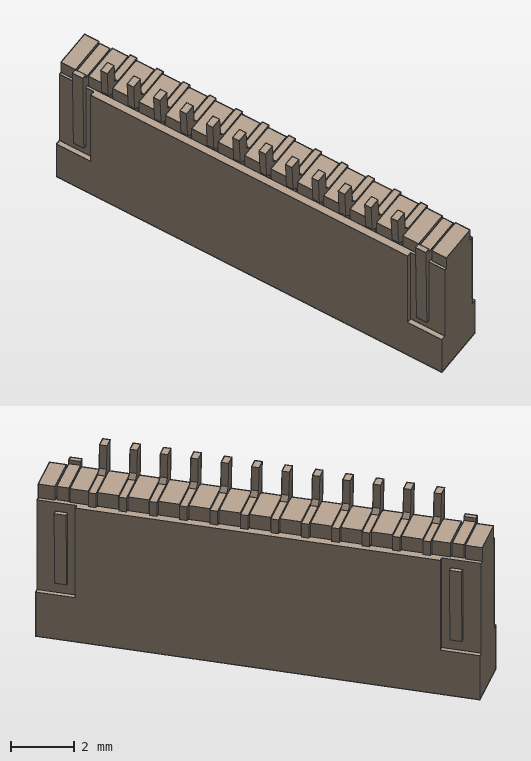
import cadquery as cq

length = 14.6
depth = 1.93
block_height = 5.0
core_top = 5.5
core_front = 0.26
core_back = 1.64

recess_length = 1.3
recess_bottom = 1.65
front_recess_depth = 0.18
back_recess_depth = 0.16

pin_count = 12
pin_span = 11.0
pin_pitch = pin_span / (pin_count - 1)
pin_width = 0.25
pin_thickness = 0.4
pin_top = 6.5
pin_back = 1.72
pin_slot_width = 0.3
pin_back_lean = 0.06
pin_back_chamfer = 0.16
pin_front_lean = 0.06
pin_front_chamfer = 0.16
pin_chamfer_bottom = 5.18

tab_offset = 0.8
tab_center = length / 2 - tab_offset
tab_width = 0.4
tab_slot_width = 0.5
tab_bottom = 2.05
tab_taper = 0.06
front_tab_top = 5.64
back_tab_top = 4.67
tab_bar_back = 1.59
tab_bar_top = core_top - 0.01


def box(x_center, width, y_range, z_range):
    """Block centred on x_center, between two Y positions and two Z positions."""
    (y_start, y_end), (z_start, z_end) = y_range, z_range
    size = (width, y_end - y_start, z_end - z_start)
    corner = cq.Vector(x_center - width / 2, y_start, z_start)
    return cq.Workplane("XY").box(*size, centered=False).translate(corner)


def extruded_profile(points, x_center, width):
    """Closed outline of (Y, Z) points, extruded symmetrically about x_center."""
    outline = cq.Workplane("YZ").polyline(points).close()
    return outline.extrude(width / 2, both=True).translate((x_center, 0, 0))


def housing():
    block = box(0, length, (0, depth), (0, block_height))
    core = box(0, length, (core_front, core_back), (0, core_top))
    recess_z = (recess_bottom, block_height)
    back_recess_y = (depth - back_recess_depth, depth)
    for side in (-1, 1):
        recess_center = side * (length - recess_length) / 2
        block = block.cut(box(recess_center, recess_length, (0, front_recess_depth), recess_z))
        block = block.cut(box(recess_center, recess_length, back_recess_y, recess_z))
    return block.union(core)


def slot(x_center, width):
    """Channel through the core from front to back, down to the top of the block."""
    return box(x_center, width, (core_front, core_back), (block_height, core_top))


def pin(x_center):
    """Bar filling its slot lengthwise, with an upright that leans slightly forward."""
    profile = [
        (0, pin_top),
        (pin_front_lean, pin_chamfer_bottom + pin_front_chamfer),
        (core_front, pin_chamfer_bottom),
        (core_front, block_height),
        (pin_back, block_height),
        (pin_back, core_top),
        (pin_thickness + pin_back_lean + pin_back_chamfer, core_top),
        (pin_thickness + pin_back_lean, core_top + pin_back_chamfer),
        (pin_thickness, pin_top),
    ]
    return extruded_profile(profile, x_center, pin_width)


def solder_tab(x_center):
    """Front leg with a bar across the core, and a separate shorter leg on the back."""
    front_leg = [
        (0, front_tab_top),
        (tab_taper, tab_bottom),
        (front_recess_depth, tab_bottom),
        (front_recess_depth, front_tab_top),
    ]
    back_leg = [
        (depth, back_tab_top),
        (depth - tab_taper, tab_bottom),
        (depth - back_recess_depth, tab_bottom),
        (depth - back_recess_depth, back_tab_top),
    ]
    bar = box(x_center, tab_width, (front_recess_depth, tab_bar_back), (block_height, tab_bar_top))
    for leg in (front_leg, back_leg):
        bar = bar.union(extruded_profile(leg, x_center, tab_width))
    return bar


result = housing()

for side in (-1, 1):
    tab_x = side * tab_center
    result = result.cut(slot(tab_x, tab_slot_width)).union(solder_tab(tab_x))

for index in range(pin_count):
    pin_x = index * pin_pitch - pin_span / 2
    result = result.cut(slot(pin_x, pin_slot_width)).union(pin(pin_x))